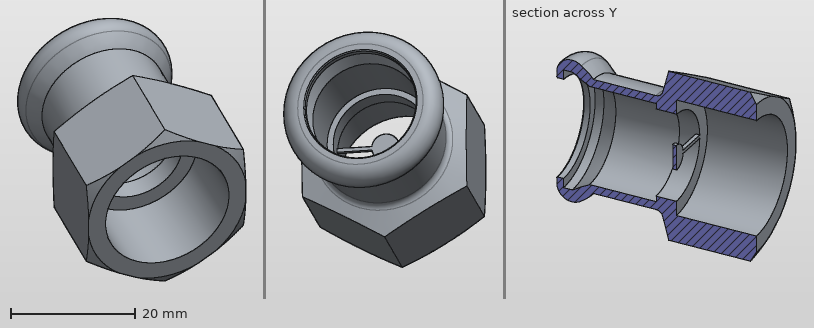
import cadquery as cq
import math

length = 36.5
hex_across_flats = 27.0
hex_corner_radius = hex_across_flats / 2 / math.cos(math.radians(30))

bead_radius = 2.8
bead_centre_radius = 10.3
bead_end_x = 4.55
bead_end_radius = bead_centre_radius + math.sqrt(bead_radius**2 - (bead_end_x - bead_radius)**2)
shoulder_mid_x = 5.8
shoulder_mid_radius = 11.57

tube_radius = 21.1 / 2
tube_start_x = 6.8
tube_end_x = 18.18
neck_fillet = 1.15
back_cone_angle = math.radians(15)
front_chamfer_angle = math.radians(30)
front_face_radius = 13.6
rim_clearance = 0.35

mouth_radius = 18.6 / 2
lip_radius = 18.2 / 2
mouth_depth = 0.22
lip_end_x = 1.3
cavity_radius = 10.8
cavity_end_x = 2.92
socket_radius = 18.0 / 2
socket_start_x = 6.05
socket_end_x = tube_end_x
bore_radius = 16.0 / 2
thread_radius = 21.2 / 2
thread_start_x = 21.9

disc_diameter = 4.55
arm_width = 0.62
disc_thickness = 0.73
arm_overlap = 0.35


def outer_envelope():
    """Turned outside: bead, tube, neck fillet, back cone and front chamfer."""
    fillet_centre_radius = tube_radius + neck_fillet
    tangent_x = math.cos(back_cone_angle)
    tangent_r = -math.sin(back_cone_angle)
    fillet_end_x = tube_end_x + neck_fillet * tangent_x
    fillet_end_radius = fillet_centre_radius + neck_fillet * tangent_r
    mid_angle = -(math.radians(90) + back_cone_angle) / 2
    fillet_mid_x = tube_end_x + neck_fillet * math.cos(mid_angle)
    fillet_mid_radius = fillet_centre_radius + neck_fillet * math.sin(mid_angle)
    rim_radius = hex_corner_radius + rim_clearance
    rim_start_x = fillet_end_x + (rim_radius - fillet_end_radius) * math.tan(back_cone_angle)
    rim_end_x = length - (rim_radius - front_face_radius) * math.tan(front_chamfer_angle)
    profile = (
        cq.Workplane("XY")
        .lineTo(0, bead_centre_radius)
        .threePointArc((bead_radius, bead_centre_radius + bead_radius), (bead_end_x, bead_end_radius))
        .threePointArc((shoulder_mid_x, shoulder_mid_radius), (tube_start_x, tube_radius))
        .lineTo(tube_end_x, tube_radius)
        .threePointArc((fillet_mid_x, fillet_mid_radius), (fillet_end_x, fillet_end_radius))
        .lineTo(rim_start_x, rim_radius)
        .lineTo(rim_end_x, rim_radius)
        .lineTo(length, front_face_radius)
        .lineTo(length, 0)
        .close()
    )
    return profile.revolve(360, (0, 0, 0), (1, 0, 0))


def hexagon():
    """Hexagonal bar with corners at +Z and -Z."""
    corners = []
    for i in range(6):
        angle = math.radians(60 * i)
        corners.append((hex_corner_radius * math.sin(angle), hex_corner_radius * math.cos(angle)))
    return cq.Workplane("YZ").polyline(corners).close().extrude(length)


def bore():
    """Mouth lip, seal cavity in the bead, pipe socket, through bore and threaded-end bore."""
    profile = [
        (0, 0),
        (0, mouth_radius),
        (mouth_depth, lip_radius),
        (lip_end_x, lip_radius),
        (lip_end_x, cavity_radius),
        (cavity_end_x, cavity_radius),
        (socket_start_x, socket_radius),
        (socket_end_x, socket_radius),
        (socket_end_x, bore_radius),
        (thread_start_x, bore_radius),
        (thread_start_x, thread_radius),
        (length, thread_radius),
        (length, 0),
    ]
    return cq.Workplane("XY").polyline(profile).close().revolve(360, (0, 0, 0), (1, 0, 0))


def disc_on_arm():
    """Central disc and its arm, ending flush with the inner end of the through bore."""
    disc_plane = cq.Workplane("YZ", origin=(thread_start_x - disc_thickness, 0, 0))
    arm_length = bore_radius + arm_overlap
    disc = disc_plane.circle(disc_diameter / 2).extrude(disc_thickness)
    arm = disc_plane.center(arm_length / 2, 0).rect(arm_length, arm_width).extrude(disc_thickness)
    return disc.union(arm)


result = outer_envelope().intersect(hexagon()).cut(bore()).union(disc_on_arm())